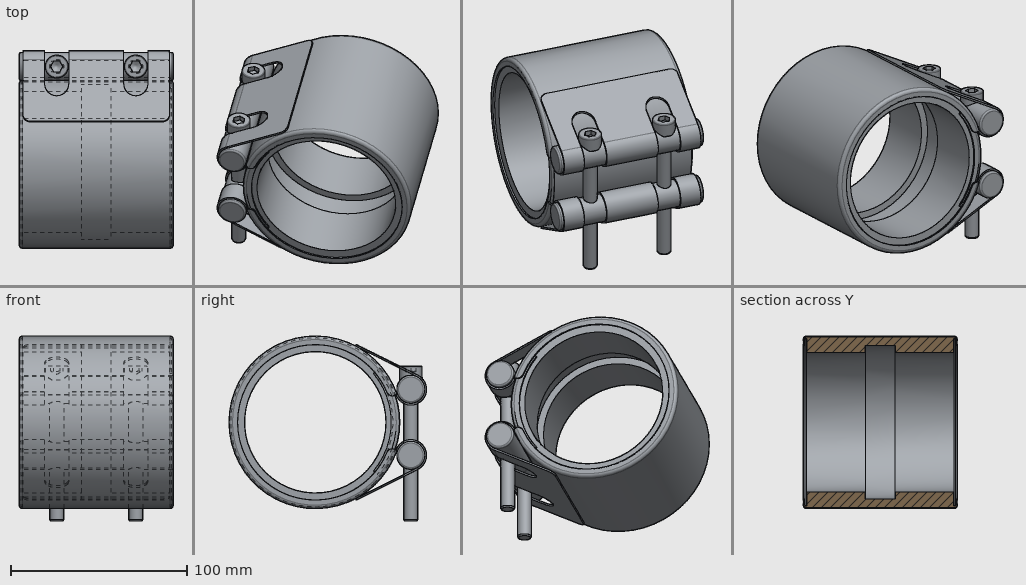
import cadquery as cq
import math

sheet = 1.0

casing_length = 87.4
casing_radius = 49.0
casing_flange_radius = 44.0
casing_gap_half_angle = 18.7
shell_edge_radius = 2.0
flange_corner_radius = 3.4

bridge_length = casing_length - 2 * sheet
bridge_radius = casing_radius - sheet
bridge_flange_radius = casing_flange_radius - sheet
bridge_half_angle = 40.0

seal_length = bridge_length - 2 * sheet
seal_radius = casing_radius - sheet
seal_bore_radius = 40.0
seal_recess_radius = 44.0
seal_recess_width = 16.8

pin_y = 54.1
pin_z = 18.7
pin_radius = 8.0
pin_length = casing_length
pin_edge_radius = 1.0

strap_width = 82.9
loop_radius = pin_radius + sheet
strap_overlap = 0.1
loop_end_angle = 190.0
tongue_setback = 1.0
strap_corner_radius = 4.0
slot_width = 13.7
slot_end_y = 37.5

screw_spacing = 44.8
screw_places = (-screw_spacing / 2, screw_spacing / 2)
screw_head_top = 31.8
screw_head_height = 8.0
screw_head_radius = 6.5
screw_head_edge = 0.5
shank_radius = 4.0
shank_bottom = -56.0
shank_tip_length = 0.9
shank_tip_inset = 0.6
socket_flats = 6.0
socket_depth = 2.7
socket_cone_angle = 120.0


def shell(length, radius, flange_radius, start_angle, sweep):
    """Ring sector of C-shaped section; angles are turned from +Y towards +Z."""
    inner_radius = radius - sheet
    half = length / 2
    inner_half = half - sheet
    bend = shell_edge_radius
    inner_bend = bend - sheet
    section = (
        cq.Workplane("XY")
        .moveTo(-half, flange_radius)
        .lineTo(-half, radius - bend)
        .radiusArc((-half + bend, radius), bend)
        .lineTo(half - bend, radius)
        .radiusArc((half, radius - bend), bend)
        .lineTo(half, flange_radius)
        .lineTo(inner_half, flange_radius)
        .lineTo(inner_half, inner_radius - inner_bend)
        .radiusArc((inner_half - inner_bend, inner_radius), -inner_bend)
        .lineTo(-inner_half + inner_bend, inner_radius)
        .radiusArc((-inner_half, inner_radius - inner_bend), -inner_bend)
        .lineTo(-inner_half, flange_radius)
        .close()
    )
    ring = section.revolve(sweep, (0, 0, 0), (1, 0, 0))
    return ring.rotate((0, 0, 0), (1, 0, 0), start_angle)


def x_tube(length, outer_radius, inner_radius):
    """Tube along X, centred on the origin."""
    tube = cq.Workplane("YZ").circle(outer_radius).circle(inner_radius)
    return tube.extrude(length / 2, both=True)


def casing():
    sweep = 360 - 2 * casing_gap_half_angle
    ring = shell(casing_length, casing_radius, casing_flange_radius, casing_gap_half_angle, sweep)
    corner_y = casing_flange_radius * math.cos(math.radians(casing_gap_half_angle))
    corner_z = casing_flange_radius * math.sin(math.radians(casing_gap_half_angle))
    margin = sheet / 2
    near_corners = cq.selectors.BoxSelector(
        (-casing_length, corner_y - margin, -corner_z - margin),
        (casing_length, corner_y + margin, corner_z + margin),
    )
    return ring.edges("|X").edges(near_corners).fillet(flange_corner_radius)


def bridge():
    return shell(
        bridge_length, bridge_radius, bridge_flange_radius, -bridge_half_angle, 2 * bridge_half_angle
    )


def seal():
    recess = x_tube(seal_recess_width, seal_recess_radius, seal_bore_radius)
    return x_tube(seal_length, seal_radius, seal_bore_radius).cut(recess)


def pin():
    body = cq.Workplane("YZ").center(pin_y, pin_z).circle(pin_radius)
    return body.extrude(pin_length / 2, both=True).edges().fillet(pin_edge_radius)


def strap():
    """Open loop from the casing around the upper pin, with a flat tongue tangent to pin and casing."""
    contact_radius = casing_radius - strap_overlap
    centre_distance = math.hypot(pin_y, pin_z)
    normal_angle = math.atan2(pin_z, pin_y) + math.acos((contact_radius - pin_radius) / centre_distance)
    normal_y = math.cos(normal_angle)
    normal_z = math.sin(normal_angle)

    end_angle = math.radians(loop_end_angle)
    middle_angle = (normal_angle + end_angle) / 2
    reach = 3 * loop_radius
    opening = (
        cq.Workplane("YZ")
        .center(pin_y, pin_z)
        .polyline([
            (0, 0),
            (reach * normal_y, reach * normal_z),
            (reach * math.cos(middle_angle), reach * math.sin(middle_angle)),
            (reach * math.cos(end_angle), reach * math.sin(end_angle)),
        ])
        .close()
        .extrude(strap_width, both=True)
    )
    loop = cq.Workplane("YZ").center(pin_y, pin_z).circle(loop_radius)
    loop = loop.extrude(strap_width / 2, both=True).cut(opening)

    tip_y = contact_radius * normal_y + tongue_setback * normal_z
    tip_z = contact_radius * normal_z - tongue_setback * normal_y
    tongue = (
        cq.Workplane("YZ")
        .moveTo(tip_y, tip_z)
        .lineTo(tip_y + sheet * normal_y, tip_z + sheet * normal_z)
        .lineTo(pin_y + loop_radius * normal_y, pin_z + loop_radius * normal_z)
        .lineTo(pin_y + pin_radius * normal_y, pin_z + pin_radius * normal_z)
        .close()
        .extrude(strap_width / 2, both=True)
    )
    tongue = tongue.faces("<Y").edges("not |X").fillet(strap_corner_radius)

    slot_start_y = pin_y + 2 * loop_radius
    slots = (
        cq.Workplane("XY")
        .pushPoints([(x, (slot_end_y + slot_start_y) / 2) for x in screw_places])
        .slot2D(slot_start_y - slot_end_y, slot_width, 90)
        .extrude(casing_radius)
    )
    return loop.union(tongue).cut(slots)


def screw():
    head = (
        cq.Workplane("XY", origin=(0, pin_y, screw_head_top - screw_head_height))
        .circle(screw_head_radius)
        .extrude(screw_head_height)
        .faces(">Z")
        .edges()
        .fillet(screw_head_edge)
    )
    shank = (
        cq.Workplane("XZ", origin=(0, pin_y, 0))
        .moveTo(0, shank_bottom)
        .lineTo(shank_radius - shank_tip_inset, shank_bottom)
        .lineTo(shank_radius, shank_bottom + shank_tip_length)
        .lineTo(shank_radius, screw_head_top - screw_head_height)
        .lineTo(0, screw_head_top - screw_head_height)
        .close()
        .revolve(360, (0, 0, 0), (0, 1, 0))
    )
    return head.union(shank)


def hex_socket():
    """Hexagonal recess of the screw head with a conical floor."""
    corner_radius = socket_flats / math.sqrt(3)
    cone_height = corner_radius / math.tan(math.radians(socket_cone_angle / 2))
    hexagon = (
        cq.Workplane("XY", origin=(0, pin_y, screw_head_top))
        .polygon(6, 2 * corner_radius)
        .extrude(-socket_depth - cone_height)
    )
    drill = (
        cq.Workplane("XZ", origin=(0, pin_y, screw_head_top))
        .lineTo(corner_radius, 0)
        .lineTo(corner_radius, -socket_depth)
        .lineTo(0, -socket_depth - cone_height)
        .close()
        .revolve(360, (0, 0, 0), (0, 1, 0))
    )
    return hexagon.intersect(drill)


result = seal().union(bridge()).union(casing())
upper_clamp = strap().union(pin())
result = result.union(upper_clamp).union(upper_clamp.mirror("XY"))
for screw_x in screw_places:
    result = result.union(screw().translate((screw_x, 0, 0)))
    result = result.cut(hex_socket().translate((screw_x, 0, 0)))